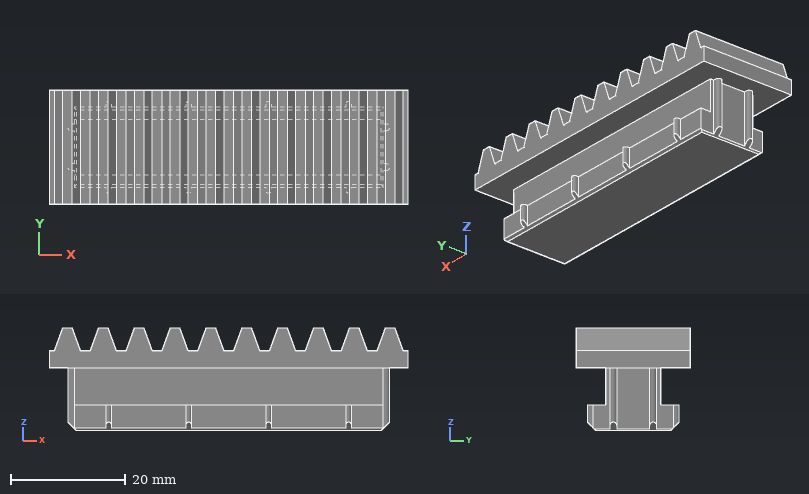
import cadquery as cq
import math

rack_length = 62.8
rack_width = 20.0
tooth_count = 10
pressure_angle = 20.0
pitch = rack_length / tooth_count
module = pitch / math.pi
tooth_height = 2 * module
flank_run = tooth_height * math.tan(math.radians(pressure_angle))
tip_half_width = (pitch / 2 - flank_run) / 2
root_half_width = tip_half_width + flank_run

total_height = 18.0
plate_thickness = 3.0
foot_height = 4.5
root_height = total_height - tooth_height
plate_bottom = root_height - plate_thickness

body_length = 54.0
stem_width = 9.7
foot_width = 14.05

end_rib_radius = 0.595
end_rib_projection = 1.2
end_rib_spacing = 7.0
side_rib_radius = 0.5
side_rib_projection = 1.0
side_rib_count = 4
side_rib_spacing = 14.0
rib_embed = 0.6

lead_in = 1.5


def toothed_plate():
    """Plate with the rack teeth on top, running along Y."""
    outline = [(-rack_length / 2, plate_bottom), (-rack_length / 2, root_height)]
    for index in range(tooth_count):
        center = (index - (tooth_count - 1) / 2) * pitch
        outline += [
            (center - root_half_width, root_height),
            (center - tip_half_width, total_height),
            (center + tip_half_width, total_height),
            (center + root_half_width, root_height),
        ]
    outline += [(rack_length / 2, root_height), (rack_length / 2, plate_bottom)]
    return cq.Workplane("XZ").polyline(outline).close().extrude(rack_width / 2, both=True)


def centered_block(length, width, height):
    """Block centred on the Z axis and standing on the underside of the foot."""
    return cq.Workplane("XY").box(length, width, height, centered=(True, True, False))


def rib(radius, projection, height):
    """Upright rib at the origin, with its rounded nose toward +X."""
    nose_start = projection - radius
    return (
        cq.Workplane("XY")
        .moveTo(-rib_embed, -radius)
        .lineTo(nose_start, -radius)
        .threePointArc((projection, 0), (nose_start, radius))
        .lineTo(-rib_embed, radius)
        .close()
        .extrude(height)
    )


def add_end_ribs(body):
    """Put the ribs on both ends, from the underside up to the plate."""
    template = rib(end_rib_radius, end_rib_projection, plate_bottom)
    for y in (-end_rib_spacing / 2, end_rib_spacing / 2):
        placed = template.translate((body_length / 2, y, 0))
        body = body.union(placed).union(placed.mirror("YZ"))
    return body


def add_side_ribs(body):
    """Put the ribs on both long sides, over the height of the foot."""
    template = rib(side_rib_radius, side_rib_projection, foot_height)
    template = template.rotate((0, 0, 0), (0, 0, 1), 90)
    for index in range(side_rib_count):
        x = (index - (side_rib_count - 1) / 2) * side_rib_spacing
        placed = template.translate((x, foot_width / 2, 0))
        body = body.union(placed).union(placed.mirror("XZ"))
    return body


def lead_in_envelope():
    """Block around the ribbed body, chamfered along its bottom edges."""
    length = body_length + 2 * end_rib_projection
    width = foot_width + 2 * side_rib_projection
    return centered_block(length, width, plate_bottom).faces("<Z").edges().chamfer(lead_in)


body = centered_block(body_length, stem_width, plate_bottom)
body = body.union(centered_block(body_length, foot_width, foot_height))
body = add_end_ribs(body)
body = add_side_ribs(body)
body = body.intersect(lead_in_envelope())

result = toothed_plate().union(body)